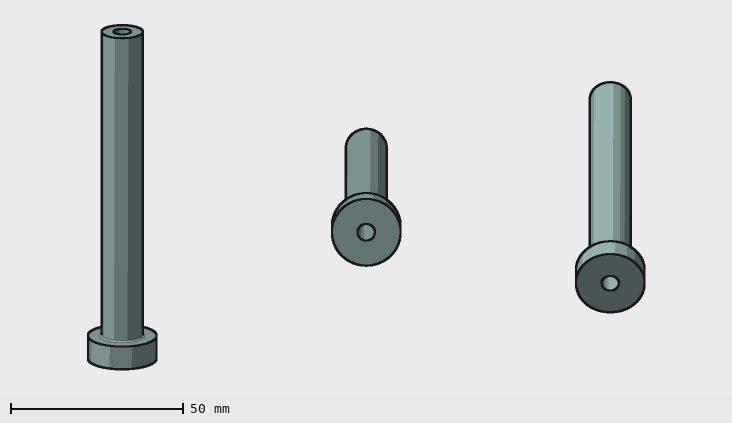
import cadquery as cq

total_length = 100.0
head_diameter = 20.0
head_height = 7.0
shank_diameter = 12.0
bore_diameter = 5.0
neck_fillet_radius = 0.5

head = cq.Workplane("XY").circle(head_diameter / 2).extrude(head_height)
shank = cq.Workplane("XY").circle(shank_diameter / 2).extrude(total_length)
body = head.union(shank)

corner_reach = (shank_diameter + head_diameter) / 4
neck_edge = cq.selectors.BoxSelector(
    (-corner_reach, -corner_reach, head_height - neck_fillet_radius),
    (corner_reach, corner_reach, head_height + neck_fillet_radius),
    boundingbox=True,
)
body = body.edges(neck_edge).fillet(neck_fillet_radius)

bore = cq.Workplane("XY").circle(bore_diameter / 2).extrude(total_length)
result = body.cut(bore)